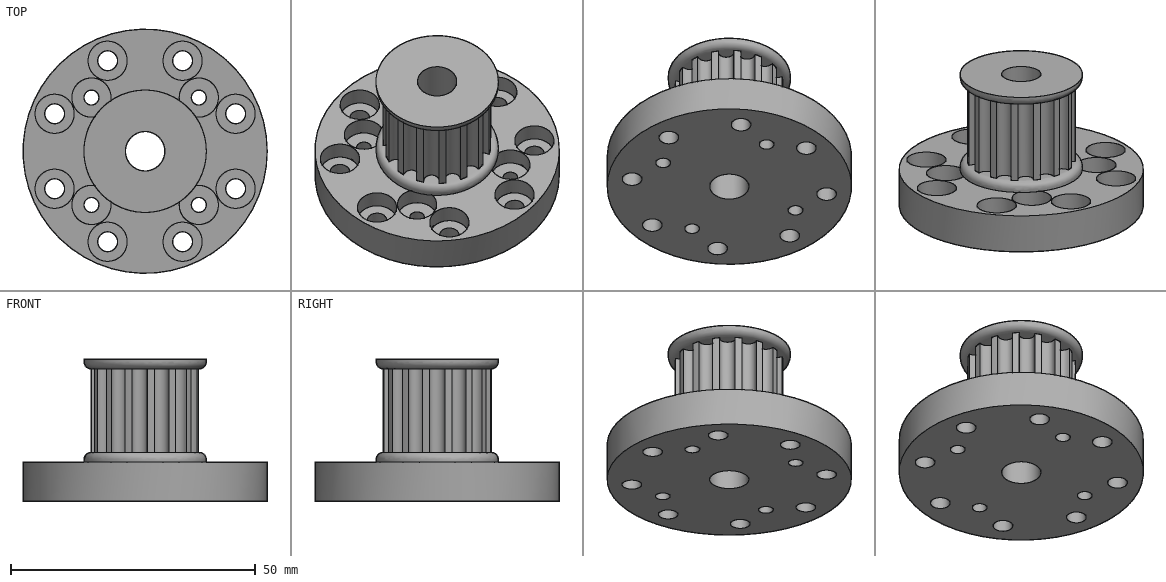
import cadquery as cq
import math

base_diameter = 49.9
base_height = 8.0

rim_diameter = 25.0
rim_height = 2.0
rim_fillet = 1.5
tooth_length = 17.0
tooth_count = 15
tooth_tip_diameter = 22.1
groove_width = 3.14
groove_depth = 2.25

bore_diameter = 8.0

counterbore_diameter = 8.0
counterbore_depth = 4.0
outer_hole_count = 8
outer_hole_diameter = 4.0
outer_circle_radius = 20.0
inner_hole_count = 4
inner_hole_diameter = 3.0
inner_circle_radius = 15.5

tooth_bottom = base_height + rim_height
tooth_top = tooth_bottom + tooth_length
total_height = tooth_top + rim_height


def disc(diameter, bottom, height):
    return cq.Workplane("XY").workplane(offset=bottom).circle(diameter / 2).extrude(height)


def ring_positions(count, radius):
    """Points evenly spread on a circle, offset half a step from the X axis."""
    step = 2 * math.pi / count
    angles = [(index + 0.5) * step for index in range(count)]
    return [(radius * math.cos(angle), radius * math.sin(angle)) for angle in angles]


def make_base():
    base = disc(base_diameter, 0, base_height)
    base = cut_screw_holes(base, outer_hole_count, outer_hole_diameter, outer_circle_radius)
    return cut_screw_holes(base, inner_hole_count, inner_hole_diameter, inner_circle_radius)


def cut_screw_holes(base, count, diameter, circle_radius):
    """Counterbored from the top face of the base."""
    return (
        base.faces(">Z")
        .workplane(origin=(0, 0, base_height))
        .pushPoints(ring_positions(count, circle_radius))
        .cboreHole(diameter, counterbore_diameter, counterbore_depth)
    )


def make_groove():
    """Straight-sided, round-bottomed belt groove centred on the +X direction."""
    half_width = groove_width / 2
    floor_radius = tooth_tip_diameter / 2 - groove_depth
    arc_start = floor_radius + half_width
    outside = rim_diameter / 2
    return (
        cq.Workplane("XY")
        .workplane(offset=tooth_bottom)
        .moveTo(outside, -half_width)
        .lineTo(arc_start, -half_width)
        .threePointArc((floor_radius, 0), (arc_start, half_width))
        .lineTo(outside, half_width)
        .close()
        .extrude(tooth_length)
    )


def make_toothed_barrel():
    barrel = disc(tooth_tip_diameter, tooth_bottom, tooth_length)
    groove = make_groove()
    for index in range(tooth_count):
        angle = index * 360 / tooth_count
        barrel = barrel.cut(groove.rotate((0, 0, 0), (0, 0, 1), angle))
    return barrel


lower_rim = disc(rim_diameter, base_height, rim_height).faces(">Z").edges().fillet(rim_fillet)
upper_rim = disc(rim_diameter, tooth_top, rim_height).faces("<Z").edges().fillet(rim_fillet)

result = make_base().union(lower_rim).union(make_toothed_barrel()).union(upper_rim)
result = result.cut(disc(bore_diameter, 0, total_height))